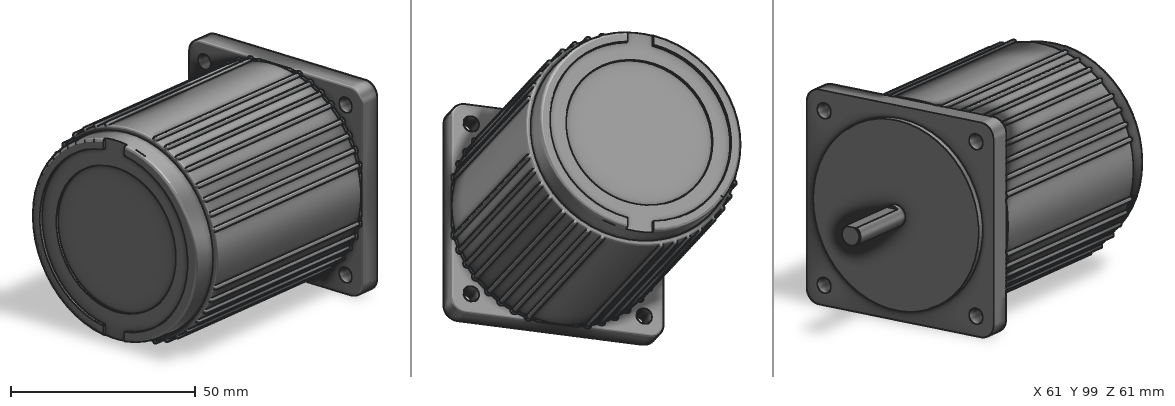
import cadquery as cq
import math


FLANGE_SIZE = 61.0
FLANGE_DEPTH = 6.5
FLANGE_CORNER_RADIUS = 4.2
FLANGE_EDGE_FILLET = 0.6
HOLE_OFFSET = 24.75
HOLE_DIAMETER = 4.5

PILOT_DIAMETER = 54.0
PILOT_DEPTH = 2.0
SHAFT_DIAMETER = 6.1
SHAFT_REACH = 24.0
SHAFT_TIP_CHAMFER = 0.3
SHAFT_FLAT_LENGTH = 20.2
SHAFT_FLAT_CUT = 0.6

BODY_RADIUS = 30.5
BODY_LENGTH = 61.6
BODY_END_FILLET = 0.6
BODY_FOOT_FLARE = 0.5
FIN_RADIUS = 0.7
FIN_CENTRE_RADIUS = 30.6
FIN_PITCH = 8.0
FINS_PER_HALF_GROUP = 4
FIRST_FIN_OFFSET = 5.0

CAP_RADIUS = 29.1
CAP_LENGTH = 5.9
CAP_DRAFT = 2.0
RIM_HEIGHT = 1.0
RIM_INNER_RADIUS = 25.9
RIM_FILLET = 0.9
RIM_GAP = 7.4
DISC_RADIUS = 21.0
DISC_DEPTH = 0.8

BODY_FRONT = -FLANGE_DEPTH
BODY_REAR = BODY_FRONT - BODY_LENGTH
CAP_REAR = BODY_REAR - CAP_LENGTH


def facing_rear(y):
    """Workplane at height y whose normal points along -Y (local x = X, local y = Z)."""
    return cq.Workplane("XZ", origin=(0, y, 0))


def polar(radius, degrees):
    angle = math.radians(degrees)
    return (radius * math.cos(angle), radius * math.sin(angle))


def fin_angles():
    """Fin directions: four groups, each symmetric about a diagonal of the flange."""
    half_group = [FIRST_FIN_OFFSET + FIN_PITCH * i for i in range(FINS_PER_HALF_GROUP)]
    offsets = [-a for a in reversed(half_group)] + half_group
    return [diagonal + a for diagonal in (45, 135, 225, 315) for a in offsets]


def finned_outline(y, growth=0.0):
    """Circle with round fins, all radii enlarged by growth."""
    body = BODY_RADIUS + growth
    fin = FIN_RADIUS + growth
    cosine = (body**2 + FIN_CENTRE_RADIUS**2 - fin**2) / (2 * body * FIN_CENTRE_RADIUS)
    half_width = math.degrees(math.acos(cosine))
    angles = fin_angles()
    outline = facing_rear(y).moveTo(*polar(body, angles[0] - half_width))
    for angle, following in zip(angles, angles[1:] + [angles[0] + 360]):
        fin_tip = polar(FIN_CENTRE_RADIUS + fin, angle)
        outline = outline.threePointArc(fin_tip, polar(body, angle + half_width))
        valley = polar(body, (angle + following) / 2)
        outline = outline.threePointArc(valley, polar(body, following - half_width))
    return outline.close()


def make_flange():
    plate = facing_rear(0).rect(FLANGE_SIZE, FLANGE_SIZE).extrude(FLANGE_DEPTH)
    plate = plate.edges("|Y").fillet(FLANGE_CORNER_RADIUS)
    plate = plate.faces("<Y").edges().fillet(FLANGE_EDGE_FILLET)
    holes = (
        facing_rear(0)
        .rect(2 * HOLE_OFFSET, 2 * HOLE_OFFSET, forConstruction=True)
        .vertices()
        .circle(HOLE_DIAMETER / 2)
        .extrude(FLANGE_DEPTH)
    )
    return plate.cut(holes)


def make_shaft():
    shaft = facing_rear(SHAFT_REACH).circle(SHAFT_DIAMETER / 2).extrude(SHAFT_REACH)
    shaft = shaft.faces(">Y").edges().chamfer(SHAFT_TIP_CHAMFER)
    flat_height = SHAFT_DIAMETER / 2 - SHAFT_FLAT_CUT
    flat = cq.Workplane("XY").box(
        SHAFT_DIAMETER, SHAFT_FLAT_LENGTH, SHAFT_DIAMETER, centered=(True, False, False)
    ).translate((0, SHAFT_REACH - SHAFT_FLAT_LENGTH, flat_height))
    return shaft.cut(flat)


def make_body():
    body = finned_outline(BODY_FRONT).extrude(BODY_LENGTH)
    return body.faces("<Y").edges().fillet(BODY_END_FILLET)


def make_body_foot():
    """Flared transition between housing and flange, kept within the flange square."""
    flare = finned_outline(BODY_FRONT, BODY_FOOT_FLARE).extrude(BODY_FOOT_FLARE, taper=45)
    square = facing_rear(BODY_FRONT).rect(FLANGE_SIZE, FLANGE_SIZE).extrude(BODY_FOOT_FLARE)
    return flare.intersect(square)


def make_cap():
    cap = facing_rear(BODY_REAR).circle(CAP_RADIUS).extrude(CAP_LENGTH + RIM_HEIGHT, taper=CAP_DRAFT)
    cap = cap.faces("<Y").edges().fillet(RIM_FILLET)
    recess = facing_rear(CAP_REAR).circle(RIM_INNER_RADIUS).extrude(RIM_HEIGHT)
    gap = facing_rear(CAP_REAR).rect(RIM_GAP, 2 * CAP_RADIUS).extrude(RIM_HEIGHT)
    disc = facing_rear(CAP_REAR + DISC_DEPTH).circle(DISC_RADIUS).extrude(DISC_DEPTH)
    return cap.cut(recess).cut(gap).cut(disc)


pilot = facing_rear(PILOT_DEPTH).circle(PILOT_DIAMETER / 2).extrude(PILOT_DEPTH)

result = (
    make_flange()
    .union(pilot)
    .union(make_shaft())
    .union(make_body())
    .union(make_body_foot())
    .union(make_cap())
)